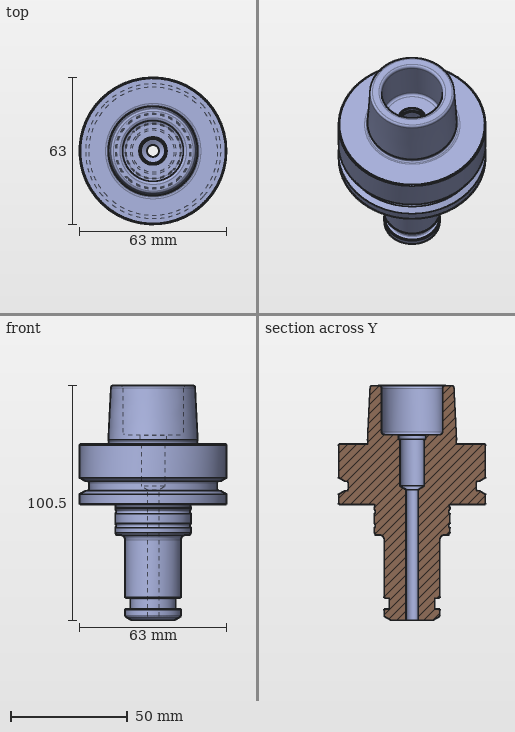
import cadquery as cq
import math


taper_top_z = 25.0
taper_base_z = 1.7
taper_gauge_z = 5.0
taper_gauge_d = 38.01
taper_ratio = 0.1
taper_rim_radius = 1.0
neck_d = 38.01
neck_top_z = 1.1
neck_fillet = 0.65
recess_depth = 0.1
recess_outer_d = 40.8

flange_d = 63.0
flange_height = 26.0
flange_chamfer = 0.5
v_groove_z = -18.0
v_groove_width = 7.0
v_groove_floor_d = 55.0
v_groove_shelf_width = 4.0
v_groove_flank_angle = 30.0
v_groove_fillet = 0.65

collar_d = 32.5
collar_bottom_z = -39.0
collar_chamfer_height = 1.0
collar_chamfer_depth = 0.6
ring_groove_inner_d = 32.0
ring_groove_width = 2.0
ring_groove_zs = (-28.8, -34.85)
ring_groove_flank_height = 0.55
ring_groove_arc_radius = 1.0
ring_groove_lip_depth = 0.15
ring_groove_lip_height = 0.1
relief_groove_width = 1.15
relief_groove_depth = 0.2

shank_d = 24.0
shank_fillet = 2.0
shank_bottom_z = -75.5
retaining_groove_d = 19.5
retaining_groove_top_z = -66.0
retaining_groove_bottom_z = -70.5
retaining_groove_top_chamfer = 0.5
retaining_groove_bottom_chamfer = 0.4
retaining_groove_fillet = 0.25
tip_d = 18.0
tip_cone_angle = 30.0
tip_radius = 1.0

bore_d = 26.0
bore_mouth_radius = 1.25
bore_floor_z = 4.0
bore_floor_radius = 1.2
counterbore_mouth_d = 12.0
counterbore_mouth_chamfer = 0.25
counterbore_depth = 2.0
pilot_d = 10.2
pilot_depth = 20.0
pilot_point_angle = 118.0
through_d = 5.0

cut_clearance = 1.0


def taper_radius(z):
    """Radius of the outer taper at height z."""
    return (taper_gauge_d - taper_ratio * (z - taper_gauge_z)) / 2


def revolved(profile):
    """Solid swept by a closed radius-height profile turned about the Z axis."""
    return profile.close().revolve(360, (0, 0, 0), (0, 1, 0))


def turned_body():
    """Outer shape without grooves or bore."""
    flange_r = flange_d / 2
    neck_r = neck_d / 2
    collar_r = collar_d / 2
    shank_r = shank_d / 2
    tip_r = tip_d / 2
    tip_cone_top_z = shank_bottom_z + (shank_r - tip_r) * math.tan(math.radians(tip_cone_angle))
    body = revolved(
        cq.Workplane("XZ")
        .moveTo(0, taper_top_z)
        .lineTo(taper_radius(taper_top_z), taper_top_z)
        .lineTo(taper_radius(taper_base_z), taper_base_z)
        .lineTo(neck_r, neck_top_z)
        .lineTo(neck_r, neck_fillet - recess_depth)
        .radiusArc((neck_r + neck_fillet, -recess_depth), -neck_fillet)
        .lineTo(recess_outer_d / 2, 0)
        .lineTo(flange_r - flange_chamfer, 0)
        .lineTo(flange_r, -flange_chamfer)
        .lineTo(flange_r, flange_chamfer - flange_height)
        .lineTo(flange_r - flange_chamfer, -flange_height)
        .lineTo(collar_r, -flange_height)
        .lineTo(collar_r, collar_bottom_z + collar_chamfer_height)
        .lineTo(collar_r - collar_chamfer_depth, collar_bottom_z)
        .lineTo(shank_r + shank_fillet, collar_bottom_z)
        .radiusArc((shank_r, collar_bottom_z - shank_fillet), -shank_fillet)
        .lineTo(shank_r, tip_cone_top_z)
        .lineTo(tip_r, shank_bottom_z)
        .lineTo(0, shank_bottom_z)
    )
    body = body.faces(">Z").edges().fillet(taper_rim_radius)
    tip_cone_edge = cq.selectors.BoxSelector(
        (-tip_radius, -tip_radius, tip_cone_top_z - tip_radius / 2),
        (tip_radius, tip_radius, tip_cone_top_z + tip_radius / 2),
    )
    return body.edges(tip_cone_edge).fillet(tip_radius)


def v_groove():
    """Flange groove: conical flanks, a flat shelf, and a narrower floor with rounded corners."""
    rim_r = flange_d / 2
    floor_r = v_groove_floor_d / 2
    half_mouth = v_groove_width / 2
    half_shelf = v_groove_shelf_width / 2
    flank_slope = math.tan(math.radians(v_groove_flank_angle))
    shelf_r = rim_r - (half_mouth - half_shelf) / flank_slope
    ring = revolved(
        cq.Workplane("XZ", origin=(0, 0, v_groove_z))
        .moveTo(floor_r, half_shelf)
        .lineTo(shelf_r, half_shelf)
        .lineTo(rim_r, half_mouth)
        .lineTo(rim_r + cut_clearance, half_mouth)
        .lineTo(rim_r + cut_clearance, -half_mouth)
        .lineTo(rim_r, -half_mouth)
        .lineTo(shelf_r, -half_shelf)
        .lineTo(floor_r, -half_shelf)
    )
    return ring.edges(cq.selectors.RadiusNthSelector(0)).fillet(v_groove_fillet)


def collar_groove(center_z):
    """Shallow collar groove: a conical upper flank running into an arc that ends at a low lip."""
    collar_r = collar_d / 2
    half_width = ring_groove_width / 2
    lip_r = collar_r - ring_groove_lip_depth
    lip_z = ring_groove_lip_height - half_width
    return revolved(
        cq.Workplane("XZ", origin=(0, 0, center_z))
        .moveTo(collar_r + cut_clearance, half_width)
        .lineTo(collar_r, half_width)
        .lineTo(ring_groove_inner_d / 2, half_width - ring_groove_flank_height)
        .radiusArc((lip_r, lip_z), -ring_groove_arc_radius)
        .lineTo(collar_r, -half_width)
        .lineTo(collar_r + cut_clearance, -half_width)
    )


def relief_groove():
    """Arc-shaped relief in the collar, directly below the flange."""
    collar_r = collar_d / 2
    bottom_z = -flange_height - relief_groove_width
    middle_z = -flange_height - relief_groove_width / 2
    return revolved(
        cq.Workplane("XZ")
        .moveTo(collar_r, -flange_height)
        .threePointArc((collar_r - relief_groove_depth, middle_z), (collar_r, bottom_z))
    )


def retaining_groove():
    """Square groove near the tip with chamfered rims and rounded floor corners."""
    shank_r = shank_d / 2
    floor_r = retaining_groove_d / 2
    top_chamfer = retaining_groove_top_chamfer
    bottom_chamfer = retaining_groove_bottom_chamfer
    top_z = retaining_groove_top_z
    bottom_z = retaining_groove_bottom_z
    ring = revolved(
        cq.Workplane("XZ")
        .moveTo(floor_r, top_z)
        .lineTo(shank_r - top_chamfer, top_z)
        .lineTo(shank_r, top_z + top_chamfer)
        .lineTo(shank_r + cut_clearance, top_z + top_chamfer)
        .lineTo(shank_r + cut_clearance, bottom_z - bottom_chamfer)
        .lineTo(shank_r, bottom_z - bottom_chamfer)
        .lineTo(shank_r - bottom_chamfer, bottom_z)
        .lineTo(floor_r, bottom_z)
    )
    return ring.edges(cq.selectors.RadiusNthSelector(0)).fillet(retaining_groove_fillet)


def stepped_bore():
    """Bore with a rounded mouth and floor, a counterbored pilot hole and a through hole."""
    bore_r = bore_d / 2
    counterbore_r = counterbore_mouth_d / 2 - counterbore_mouth_chamfer
    pilot_r = pilot_d / 2
    through_r = through_d / 2
    counterbore_z = bore_floor_z - counterbore_depth
    pilot_z = counterbore_z - pilot_depth
    point_height = (pilot_r - through_r) / math.tan(math.radians(pilot_point_angle / 2))
    return revolved(
        cq.Workplane("XZ")
        .moveTo(0, taper_top_z)
        .lineTo(bore_r + bore_mouth_radius, taper_top_z)
        .radiusArc((bore_r, taper_top_z - bore_mouth_radius), -bore_mouth_radius)
        .lineTo(bore_r, bore_floor_z + bore_floor_radius)
        .radiusArc((bore_r - bore_floor_radius, bore_floor_z), bore_floor_radius)
        .lineTo(counterbore_r + counterbore_mouth_chamfer, bore_floor_z)
        .lineTo(counterbore_r, bore_floor_z - counterbore_mouth_chamfer)
        .lineTo(counterbore_r, counterbore_z)
        .lineTo(pilot_r, counterbore_z)
        .lineTo(pilot_r, pilot_z)
        .lineTo(through_r, pilot_z - point_height)
        .lineTo(through_r, shank_bottom_z)
        .lineTo(0, shank_bottom_z)
    )


result = turned_body().cut(v_groove()).cut(relief_groove())
for groove_z in ring_groove_zs:
    result = result.cut(collar_groove(groove_z))
result = result.cut(retaining_groove()).cut(stepped_bore())